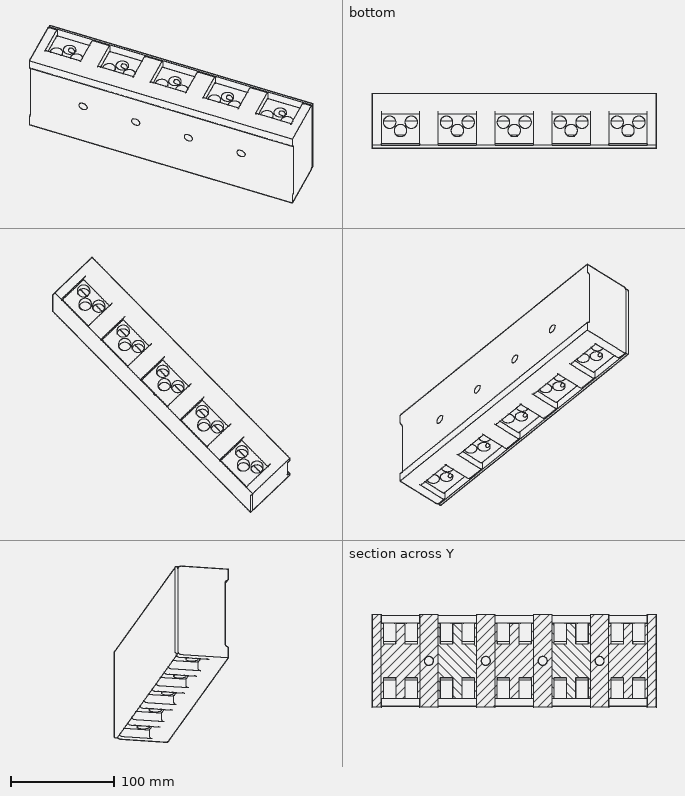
import cadquery as cq
import math

length = 275.0
height = 90.0
housing_depth = 50.0
pole_count = 5
pole_pitch = length / pole_count

cover_thickness = 3.0
cover_height = 88.0
cover_edge_radius = 1.5

back_edge_radius = 3.5
channel_depth = 3.0
channel_half_height = 33.5
channel_step_radius = 2.0

mounting_hole_diameter = 8.5
mounting_hole_count = pole_count - 1

slot_width = 37.0
slot_front = 20.0
slot_edge_radius = 2.5

terminal_height = 73.0
terminal_back = 48.5
wire_hole_diameter = 12.0
wire_hole_depth = 20.0
ledge_height = 2.0

rear_wire_y = 35.8
rear_ledge_y = 40.0

front_wire_y = 27.8
front_wire_offset = 10.5
front_ledge_y = 26.6

screw_hole_diameter = 6.6
screw_hole_drop = 7.0


def row_positions(count):
    """X positions of a centred row of features, one pole pitch apart."""
    return [(i - (count - 1) / 2) * pole_pitch for i in range(count)]


def box(x_size, y_start, y_end, z_size):
    """Box centred on X and Z that runs from y_start to y_end."""
    return cq.Workplane("XY").box(x_size, y_end - y_start, z_size).translate((0, (y_start + y_end) / 2, 0))


def make_mounting_channel():
    """Shallow channel along the front face, with S-shaped sides of two tangent arcs."""
    turn = math.acos(1 - channel_depth / (2 * channel_step_radius))
    run = channel_step_radius * math.sin(turn)
    half_turn_run = channel_step_radius * math.sin(turn / 2)
    half_turn_rise = channel_step_radius * (1 - math.cos(turn / 2))
    outer_z = channel_half_height + run
    inner_z = channel_half_height - run
    outer_arc_z = outer_z - half_turn_run
    inner_arc_z = inner_z + half_turn_run
    floor_arc_y = channel_depth - half_turn_rise
    middle = (channel_depth / 2, channel_half_height)
    lower_middle = (channel_depth / 2, -channel_half_height)
    return (
        cq.Workplane("YZ")
        .moveTo(0, outer_z)
        .threePointArc((half_turn_rise, outer_arc_z), middle)
        .threePointArc((floor_arc_y, inner_arc_z), (channel_depth, inner_z))
        .lineTo(channel_depth, -inner_z)
        .threePointArc((floor_arc_y, -inner_arc_z), lower_middle)
        .threePointArc((half_turn_rise, -outer_arc_z), (0, -outer_z))
        .close()
        .extrude(length / 2, both=True)
    )


def make_terminal_slot():
    """Slot through the full height, open at the back, flaring where its front wall meets the ends."""
    slot = box(slot_width, slot_front, housing_depth, height)
    flare = (
        box(slot_width, slot_front - slot_edge_radius, slot_front, height)
        .cut(
            box(slot_width, slot_front - 2 * slot_edge_radius, slot_front, height)
            .edges(">Y and |X")
            .fillet(slot_edge_radius)
        )
    )
    return slot.union(flare)


def make_housing():
    housing = box(length, 0, housing_depth, height)
    housing = housing.edges(">Y and |X").fillet(back_edge_radius)
    housing = housing.cut(make_mounting_channel())
    slot = make_terminal_slot()
    for x in row_positions(pole_count):
        housing = housing.cut(slot.translate((x, 0, 0)))
    for x in row_positions(mounting_hole_count):
        hole = cq.Workplane("XZ").center(x, 0).circle(mounting_hole_diameter / 2).extrude(-housing_depth)
        housing = housing.cut(hole)
    return housing


def make_wire_hole(x, y, ledge_y):
    """Blind hole down from the terminal top, with a raised ledge on its floor behind ledge_y."""
    top_z = terminal_height / 2
    hole = (
        cq.Workplane("XY", origin=(x, y, top_z))
        .circle(wire_hole_diameter / 2)
        .extrude(-wire_hole_depth)
    )
    ledge_z = top_z - wire_hole_depth + ledge_height / 2
    ledge = (
        cq.Workplane("XY", origin=(x, ledge_y + wire_hole_diameter / 2, ledge_z))
        .box(wire_hole_diameter, wire_hole_diameter, ledge_height)
    )
    return hole.cut(ledge)


def make_clamp_screw_hole():
    """Hole from the terminal back into the rear wire hole."""
    return (
        cq.Workplane("XZ", origin=(0, rear_wire_y, terminal_height / 2 - screw_hole_drop))
        .circle(screw_hole_diameter / 2)
        .extrude(rear_wire_y - terminal_back)
    )


def make_terminal():
    terminal = box(slot_width, slot_front, terminal_back, terminal_height)
    cuts = [
        make_wire_hole(0, rear_wire_y, rear_ledge_y),
        make_wire_hole(-front_wire_offset, front_wire_y, front_ledge_y),
        make_wire_hole(front_wire_offset, front_wire_y, front_ledge_y),
        make_clamp_screw_hole(),
    ]
    for cut in cuts:
        terminal = terminal.cut(cut).cut(cut.mirror("XY"))
    return terminal


def make_cover():
    cover = box(length, housing_depth, housing_depth + cover_thickness, cover_height)
    return cover.edges(">Y and |X").fillet(cover_edge_radius)


housing = make_housing()
cover = make_cover()
terminal = make_terminal()
terminals = [terminal.translate((x, 0, 0)) for x in row_positions(pole_count)]

result = cq.Compound.makeCompound(
    [housing.val(), cover.val(), *[block.val() for block in terminals]]
)